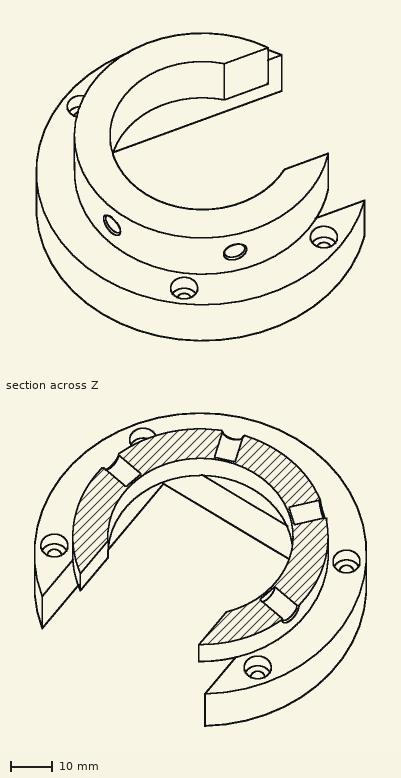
import cadquery as cq

flange_radius = 40.0
collar_radius = 30.8
bore_radius = 22.2
flange_height = 14.5
total_height = 29.0
collar_height = total_height - flange_height

flange_slot_width = 48.0
flange_slot_floor_y = -18.5
collar_gap_width = 34.9

screw_x = 30.0
screw_y = 18.5
screw_diameter = 3.4
counterbore_diameter = 6.5
counterbore_depth = 4.4

radial_hole_z = 22.0
radial_hole_diameter = 5.0
radial_hole_depth = 8.0
radial_mouth_diameter = 6.0
radial_mouth_depth = 0.5
first_hole_angle = 170.4
hole_angle_step = 60.0
radial_hole_count = 4
cone_overrun = 0.5


def flange():
    """Disc with a straight, flat-ended slot open toward +Y."""
    disc = cq.Workplane("XY").circle(flange_radius).extrude(flange_height)
    slot_length = flange_radius - flange_slot_floor_y
    slot = cq.Workplane("XY").box(
        flange_slot_width, slot_length, flange_height, centered=(True, False, False)
    )
    return disc.cut(slot.translate((0, flange_slot_floor_y, 0)))


def collar():
    """Ring on top of the flange with a narrower gap toward +Y."""
    ring = (
        cq.Workplane("XY", origin=(0, 0, flange_height))
        .circle(collar_radius)
        .circle(bore_radius)
        .extrude(collar_height)
    )
    gap = cq.Workplane("XY").box(
        collar_gap_width, collar_radius, collar_height, centered=(True, False, False)
    )
    return ring.cut(gap.translate((0, 0, flange_height)))


def radial_hole_cutter(angle):
    """Flat-bottomed radial drill with a chamfered mouth, at an angle measured from +X."""
    mouth_radius = radial_mouth_diameter / 2
    hole_radius = radial_hole_diameter / 2
    floor_radius = collar_radius - radial_hole_depth
    cone_slope = (mouth_radius - hole_radius) / radial_mouth_depth
    cone_start = collar_radius - radial_mouth_depth
    cone_end = collar_radius + cone_overrun
    cone_end_radius = mouth_radius + cone_slope * cone_overrun
    cutter = (
        cq.Workplane("XZ")
        .moveTo(floor_radius, 0)
        .lineTo(floor_radius, hole_radius)
        .lineTo(cone_start, hole_radius)
        .lineTo(cone_end, cone_end_radius)
        .lineTo(cone_end, 0)
        .close()
        .revolve(360, (0, 0, 0), (1, 0, 0))
    )
    return cutter.translate((0, 0, radial_hole_z)).rotate((0, 0, 0), (0, 0, 1), angle)


body = flange().union(collar())

screw_points = [(sx * screw_x, sy * screw_y) for sx in (-1, 1) for sy in (-1, 1)]
screw_holes = (
    cq.Workplane("XY")
    .pushPoints(screw_points)
    .circle(screw_diameter / 2)
    .extrude(flange_height)
)
counterbores = (
    cq.Workplane("XY", origin=(0, 0, flange_height - counterbore_depth))
    .pushPoints(screw_points)
    .circle(counterbore_diameter / 2)
    .extrude(counterbore_depth)
)
body = body.cut(screw_holes).cut(counterbores)

for index in range(radial_hole_count):
    body = body.cut(radial_hole_cutter(first_hole_angle + index * hole_angle_step))

result = body